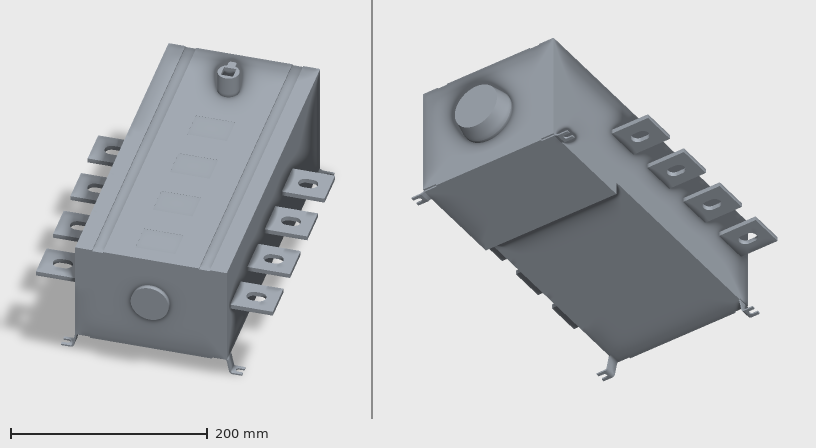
import cadquery as cq
import math

sheet = 1.7
total_height = 154.0
body_width = 160.0
body_length = 353.0
body_bottom = sheet
body_top = 130.0
step_bottom = 17.0
step_length = 239.3

groove_inner_x = 50.5
groove_width = 11.5
groove_depth = 1.0

pole_count = 4
pole_pitch = 65.0
first_pole_y = 32.8
axis_height = 77.7
terminal_span = 250.0
terminal_width = 40.0
terminal_thickness = 5.0
terminal_slot_x = 102.0
terminal_slot_length = 20.5
terminal_slot_width = 14.0
window_width = 42.0
window_length = 32.5
window_depth = 0.2

front_boss_diameter = 40.0
front_boss_length = 5.5
knob_height = 61.5
knob_diameter = 60.5
knob_tip_diameter = 52.0
knob_rim_length = 3.5
knob_length = 22.5

shaft_y = 293.5
shaft_diameter = 22.5
shaft_square = 13.0
tab_width = 8.5
tab_reach = 17.0
tab_height = 8.5
tab_corner = 2.3

bracket_width = 13.0
bracket_span = 191.3
bracket_inset = 8.5
flange_end_x = 64.5
foot_knee_x = 84.0
front_web_run = 3.5
rear_web_run = 4.0
front_bend_radius = 2.0
rear_bend_radius = 0
bracket_slot_width = 5.7
bracket_slot_end_x = 87.2


def box(x_min, x_max, y_min, y_max, z_min, z_max):
    size = (x_max - x_min, y_max - y_min, z_max - z_min)
    return cq.Workplane("XY").box(*size, centered=False).translate((x_min, y_min, z_min))


def both_sides(shape):
    return shape.union(shape.mirror("YZ"))


def pole_positions():
    return [first_pole_y + i * pole_pitch for i in range(pole_count)]


def make_body():
    """Stepped housing with two grooves along its top and a shallow window per pole."""
    profile = [
        (0, step_bottom),
        (step_length, step_bottom),
        (step_length, body_bottom),
        (body_length, body_bottom),
        (body_length, body_top),
        (0, body_top),
    ]
    body = cq.Workplane("YZ").polyline(profile).close().extrude(body_width / 2, both=True)
    groove = box(
        groove_inner_x, groove_inner_x + groove_width,
        0, body_length,
        body_top - groove_depth, body_top,
    )
    windows = (
        cq.Workplane("XY", origin=(0, 0, body_top))
        .pushPoints([(0, y) for y in pole_positions()])
        .rect(window_width, window_length)
        .extrude(-window_depth)
    )
    return body.cut(both_sides(groove)).cut(windows)


def make_terminals():
    """Flat bars through the housing, slotted at both ends."""
    centres = [(0, y) for y in pole_positions()]
    slots = [(side * terminal_slot_x, y) for y in pole_positions() for side in (-1, 1)]
    plane = cq.Workplane("XY", origin=(0, 0, axis_height - terminal_thickness / 2))
    bars = plane.pushPoints(centres).rect(terminal_span, terminal_width).extrude(terminal_thickness)
    holes = (
        plane.pushPoints(slots)
        .slot2D(terminal_slot_length, terminal_slot_width)
        .extrude(terminal_thickness)
    )
    return bars.cut(holes)


def make_front_boss():
    return (
        cq.Workplane("XZ", origin=(0, 0, axis_height))
        .circle(front_boss_diameter / 2)
        .extrude(front_boss_length)
    )


def make_knob():
    """Tapered boss with a short straight rim on the rear face."""
    profile = [
        (0, body_length),
        (knob_diameter / 2, body_length),
        (knob_diameter / 2, body_length + knob_rim_length),
        (knob_tip_diameter / 2, body_length + knob_length),
        (0, body_length + knob_length),
    ]
    knob = cq.Workplane("XY").polyline(profile).close().revolve(360, (0, 0, 0), (0, 1, 0))
    return knob.translate((0, 0, knob_height))


def make_shaft():
    """Upright shaft with a square socket and a pointer tab at its upper end."""
    height = total_height - body_top
    base = cq.Workplane("XY", origin=(0, shaft_y, body_top))
    shaft = base.circle(shaft_diameter / 2).extrude(height)
    tab = box(
        -tab_width / 2, tab_width / 2,
        shaft_y, shaft_y + tab_reach,
        total_height - tab_height, total_height,
    )
    tab = tab.edges("|Z and >Y").fillet(tab_corner)
    socket = base.rect(shaft_square, shaft_square).extrude(height)
    return shaft.union(tab).cut(socket)


def make_bracket(centre_y, seat, web_run, radius):
    """Z-bent bracket: a flange with its lower face at `seat`, a sloping web and a slotted foot.

    The bends stay sharp where the inside radius is 0.
    """
    top = seat + sheet
    bend_angle = math.atan2(seat, web_run)
    miter = sheet * math.tan(bend_angle / 2)
    top_knee_x = foot_knee_x - web_run
    foot_end_x = bracket_span / 2
    profile = [
        (flange_end_x, top),
        (top_knee_x, top),
        (foot_knee_x, sheet),
        (foot_end_x, sheet),
        (foot_end_x, 0),
        (foot_knee_x - miter, 0),
        (top_knee_x - miter, seat),
        (flange_end_x, seat),
    ]
    bracket = (
        cq.Workplane("XZ", origin=(0, centre_y, 0))
        .polyline(profile)
        .close()
        .extrude(bracket_width / 2, both=True)
    )
    if radius > 0:
        inside = [(foot_knee_x, sheet), (top_knee_x - miter, seat)]
        outside = [(top_knee_x, top), (foot_knee_x - miter, 0)]
        for knees, bend in ((inside, radius), (outside, radius + sheet)):
            for x, z in knees:
                knee = cq.selectors.NearestToPointSelector((x, centre_y, z))
                bracket = bracket.edges("|Y").edges(knee).fillet(bend)
    slot_radius = bracket_slot_width / 2
    slot_centre_x = bracket_slot_end_x + slot_radius
    slot = box(
        slot_centre_x, foot_end_x,
        centre_y - slot_radius, centre_y + slot_radius,
        0, sheet,
    )
    slot_end = cq.Workplane("XY").center(slot_centre_x, centre_y).circle(slot_radius).extrude(sheet)
    return both_sides(bracket.cut(slot).cut(slot_end))


def make_notches(y_min, y_max, underside):
    """Pockets in the underside of the housing, just deep enough for the bracket flanges."""
    roof = underside + sheet
    return both_sides(box(flange_end_x, body_width / 2, y_min, y_max, underside, roof))


front_bracket_y = bracket_inset
rear_bracket_y = body_length - bracket_inset
front_notch_end = front_bracket_y + bracket_width / 2
rear_notch_start = rear_bracket_y - bracket_width / 2

result = (
    make_body()
    .cut(make_notches(0, front_notch_end, step_bottom))
    .cut(make_notches(rear_notch_start, body_length, body_bottom))
    .union(make_terminals())
    .union(make_front_boss())
    .union(make_knob())
    .union(make_shaft())
    .union(make_bracket(front_bracket_y, step_bottom, front_web_run, front_bend_radius))
    .union(make_bracket(rear_bracket_y, body_bottom, rear_web_run, rear_bend_radius))
)